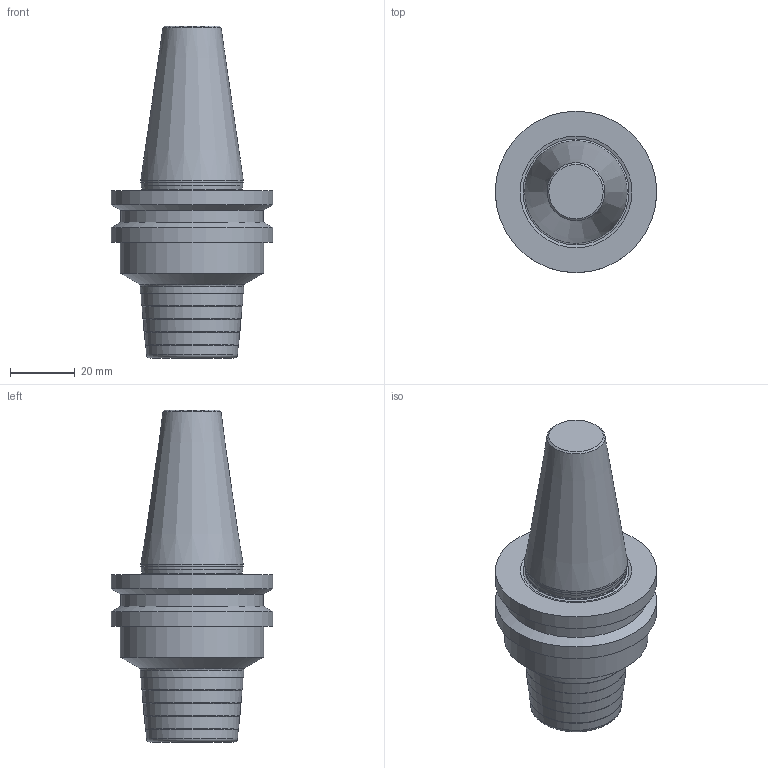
import cadquery as cq
import math


gauge_diameter = 31.75
shank_length = 47.8
taper_ratio = 7 / 24
gauge_radius = gauge_diameter / 2
shank_end_radius = gauge_radius - shank_length * taper_ratio / 2
shank_end_chamfer = 0.5

gauge_land = 0.6
neck_radius = 15.7

flange_radius = 25.0
flange_top = -3.2
flange_bottom = -19.1
groove_center = -11.1
groove_flank_angle = 30
groove_root_width = 3.75
groove_root_radius = 22.15
groove_flank_height = (flange_radius - groove_root_radius) * math.tan(math.radians(groove_flank_angle))
groove_root_top = groove_center + groove_root_width / 2
groove_root_bottom = groove_center - groove_root_width / 2

relief_top = -1.5
relief_outer_radius = 17.3
relief_neck_depth = 0.1
relief_flange_depth = 0.3
relief_fillet = 0.8

body_radius = 22.25
body_bottom = -28.7
shoulder_angle = 30
shoulder_fillet = 0.7
nose_radius = 16.0
shoulder_height = (body_radius - nose_radius) * math.tan(math.radians(shoulder_angle))
shoulder_bottom = body_bottom - shoulder_height

nose_bottom = -55.0
nose_end_fillet = 1.2
band_count = 5
band_pitch = 4.0
band_narrowing = 0.18
step_height = 0.25
step_depth = 0.2
collar_bottom = nose_bottom + band_count * band_pitch + step_height / 2


def revolve_profile(points):
    """Solid of revolution about Z from an outline of (radius, z) points."""
    return cq.Workplane("XZ").polyline(points).close().revolve(360, (0, 0), (0, 1))


def make_shank():
    shank = revolve_profile([
        (0, flange_top),
        (neck_radius, flange_top),
        (neck_radius, -gauge_land - (gauge_radius - neck_radius)),
        (gauge_radius, -gauge_land),
        (gauge_radius, 0),
        (shank_end_radius, shank_length),
        (0, shank_length),
    ])
    return shank.faces(">Z").edges().chamfer(shank_end_chamfer)


def make_flange():
    return revolve_profile([
        (0, flange_top),
        (flange_radius, flange_top),
        (flange_radius, groove_root_top + groove_flank_height),
        (groove_root_radius, groove_root_top),
        (groove_root_radius, groove_root_bottom),
        (flange_radius, groove_root_bottom - groove_flank_height),
        (flange_radius, flange_bottom),
        (0, flange_bottom),
    ])


def make_relief():
    """Ring of material removed from the corner between neck and flange."""
    floor_radius = neck_radius - relief_neck_depth
    floor_z = flange_top - relief_flange_depth
    bend = relief_fillet * (1 - math.sqrt(0.5))
    profile = (
        cq.Workplane("XZ")
        .moveTo(neck_radius, relief_top)
        .lineTo(floor_radius, floor_z + relief_fillet)
        .threePointArc((floor_radius + bend, floor_z + bend), (floor_radius + relief_fillet, floor_z))
        .lineTo(relief_outer_radius, flange_top)
        .lineTo(relief_outer_radius, relief_top)
        .close()
    )
    return profile.revolve(360, (0, 0), (0, 1))


def make_body():
    return revolve_profile([
        (0, flange_bottom),
        (body_radius, flange_bottom),
        (body_radius, body_bottom),
        (nose_radius, shoulder_bottom),
        (0, shoulder_bottom),
    ])


def make_nose():
    radius = nose_radius
    points = [(0, shoulder_bottom), (radius, shoulder_bottom)]
    for band in range(band_count):
        step_top = collar_bottom - band * band_pitch
        points.append((radius, step_top))
        radius -= step_depth
        points.append((radius, step_top - step_height))
        radius -= band_narrowing
    points.append((radius, nose_bottom))
    points.append((0, nose_bottom))
    return revolve_profile(points).faces("<Z").edges().fillet(nose_end_fillet)


def round_shoulder(part):
    """Fillet the inside corner where the conical shoulder meets the nose."""
    reach = nose_radius + shoulder_fillet
    corner = cq.selectors.BoxSelector(
        (-reach, -reach, shoulder_bottom - shoulder_fillet),
        (reach, reach, shoulder_bottom + shoulder_fillet),
    )
    return part.edges("%CIRCLE").edges(corner).fillet(shoulder_fillet)


shank_and_flange = make_shank().union(make_flange()).cut(make_relief())
body_and_nose = round_shoulder(make_body().union(make_nose()))
result = shank_and_flange.union(body_and_nose)